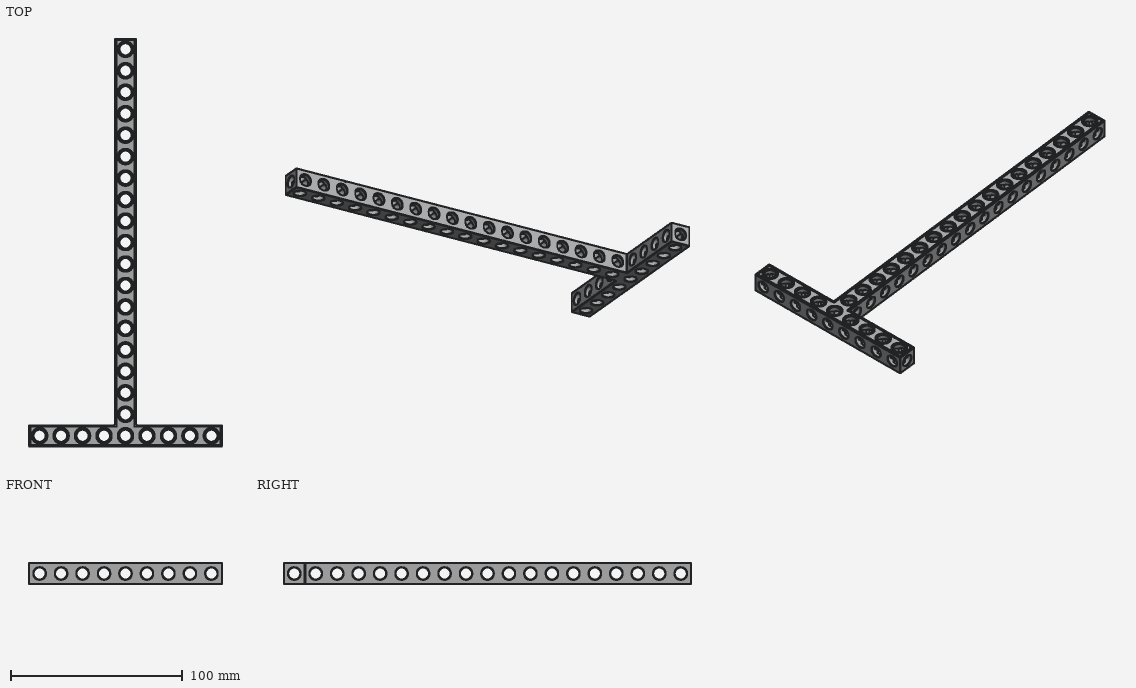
import cadquery as cq


length = 237.5
stem_hole_count = 19
bar_hole_count = 9
hole_diameter = 7.0
collar_diameter = 9.3
rim_width = 1.15
recess_depth = 0.2
edge_chamfer = 0.35

pitch = length / stem_hole_count
half_pitch = pitch / 2
bar_length = bar_hole_count * pitch
half_bar = bar_length / 2
stem_end = length - half_pitch

bar_positions = [(i - (bar_hole_count - 1) / 2) * pitch for i in range(bar_hole_count)]
stem_positions = [i * pitch for i in range(1, stem_hole_count)]


def tee_prism(inset, bottom, height):
    """T-shaped prism with its outline moved inwards by inset."""
    width = pitch - 2 * inset
    bar = cq.Workplane("XY").box(bar_length - 2 * inset, width, height, centered=(True, True, False))
    stem = (
        cq.Workplane("XY")
        .box(width, length - 2 * inset, height, centered=(True, False, False))
        .translate((0, inset - half_pitch, 0))
    )
    return bar.union(stem).clean().translate((0, 0, bottom))


def chamfered_hole(start, end):
    """Cutter turned from a half profile: a hole from 0 to its depth, wider at both mouths."""
    direction = cq.Vector(*end) - cq.Vector(*start)
    depth = direction.Length
    radius = hole_diameter / 2
    mouth = radius + edge_chamfer
    profile = [
        (0, 0),
        (mouth, 0),
        (radius, edge_chamfer),
        (radius, depth - edge_chamfer),
        (mouth, depth),
        (0, depth),
    ]
    side = direction.cross(cq.Vector(1, 1, 1))
    plane = cq.Plane(origin=start, xDir=side, normal=side.cross(direction))
    return cq.Workplane(plane).polyline(profile).close().revolve(360, (0, 0), (0, 1))


def cut_holes(body, mouths):
    """Drill a chamfered hole between each pair of mouth centres."""
    for start, end in mouths:
        body = body.cut(chamfered_hole(start, end))
    return body


body = tee_prism(0, -half_pitch, pitch).edges().chamfer(edge_chamfer)

vertical_centres = [(x, 0) for x in bar_positions] + [(0, y) for y in stem_positions]
recess_floor = half_pitch - recess_depth
collars = (
    cq.Workplane("XY")
    .workplane(offset=recess_floor)
    .pushPoints(vertical_centres)
    .circle(collar_diameter / 2)
    .extrude(recess_depth)
)
body = body.cut(tee_prism(rim_width, recess_floor, recess_depth).cut(collars))

body = cut_holes(body, [((x, y, -half_pitch), (x, y, half_pitch)) for x, y in vertical_centres])

for x in bar_positions:
    back = stem_end if x == 0 else half_pitch
    body = cut_holes(body, [((x, -half_pitch, 0), (x, back, 0))])

body = cut_holes(body, [((-half_pitch, y, 0), (half_pitch, y, 0)) for y in stem_positions])
body = cut_holes(body, [((-half_bar, 0, 0), (half_bar, 0, 0))])

result = body.solids()